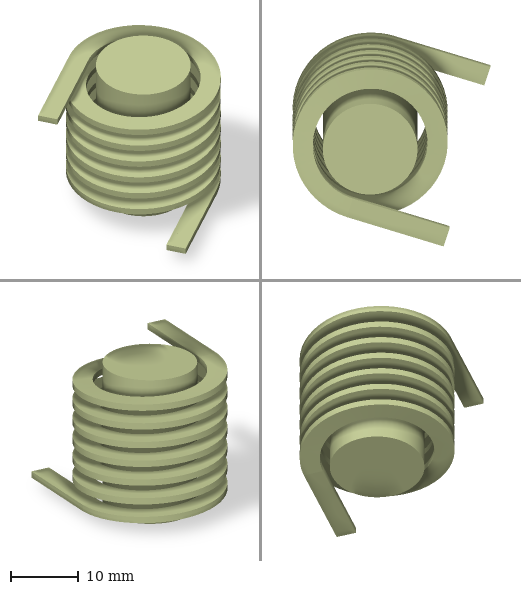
import cadquery as cq

core_diameter = 14.0
core_height = 23.0

wire_width = 3.0
wire_thickness = 1.0

coil_outer_diameter = 22.91
coil_mean_radius = (coil_outer_diameter - wire_width) / 2
coil_turns = 6.5
coil_rise = 19.5
coil_pitch = coil_rise / coil_turns
coil_bottom_z = 1.5
coil_top_end_z = coil_bottom_z + coil_rise

lead_length = 26.45 - coil_outer_diameter / 2
terminal_length = wire_width
lower_lead_length = lead_length - terminal_length


def straight_wire(center_x, start_y, bottom_z, length):
    """Straight bar of the flat wire, running from start_y towards -Y."""
    return (
        cq.Workplane("XY", origin=(center_x, start_y, bottom_z))
        .rect(wire_width, length)
        .extrude(wire_thickness)
        .translate((0, -length / 2, 0))
    )


def make_core():
    return cq.Workplane("XY").circle(core_diameter / 2).extrude(core_height)


def make_winding():
    """Helical turns in one piece with the straight lead at their lower end."""
    section_z = coil_bottom_z + wire_thickness / 2
    helix = cq.Wire.makeHelix(coil_pitch, coil_rise, coil_mean_radius, center=cq.Vector(0, 0, section_z))
    turns = (
        cq.Workplane("XZ", origin=(coil_mean_radius, 0, section_z))
        .rect(wire_width, wire_thickness)
        .sweep(cq.Workplane(helix), isFrenet=True)
    )
    return turns.union(straight_wire(coil_mean_radius, 0, coil_bottom_z, lower_lead_length))


def make_upper_lead():
    return straight_wire(-coil_mean_radius, 0, coil_top_end_z, lead_length)


def make_terminal():
    """End piece that continues the lower lead."""
    return straight_wire(coil_mean_radius, -lower_lead_length, coil_bottom_z, terminal_length)


core = make_core()
winding = make_winding()
upper_lead = make_upper_lead()
terminal = make_terminal()

result = cq.Compound.makeCompound([
    core.val(),
    *winding.solids().vals(),
    upper_lead.val(),
    terminal.val(),
])